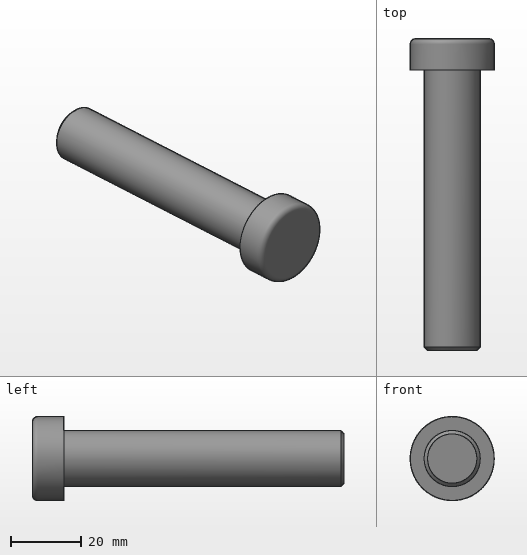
import cadquery as cq

total_length = 89.0
head_diameter = 24.0
head_height = 9.0
head_edge_radius = 1.6
shank_diameter = 16.0
tip_chamfer = 1.0

shank_length = total_length - head_height


def cylinder_along_y(diameter, start_y, length):
    """Solid cylinder growing toward +Y from start_y."""
    plane = cq.Workplane("XZ", origin=(0, start_y, 0))
    return plane.circle(diameter / 2).extrude(-length)


shank = cylinder_along_y(shank_diameter, 0, shank_length).faces("<Y").edges().chamfer(tip_chamfer)

head = cylinder_along_y(head_diameter, shank_length, head_height).faces(">Y").edges().fillet(head_edge_radius)

result = shank.union(head)